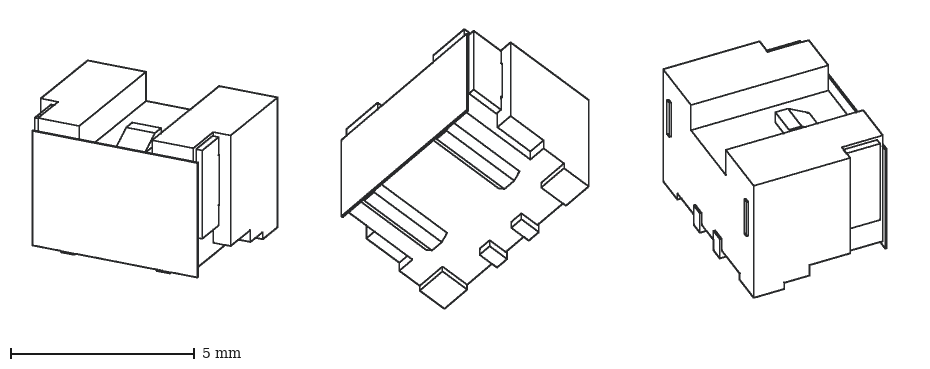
import cadquery as cq
import math


WIDTH = 5.75
DEPTH = 4.135
HEIGHT = 3.845
CORE_WIDTH = 4.7
SHOULDER_Y = 1.23

BELLY_Z = 0.21
STEP_Z = 0.57
STEP_END_Y = 2.455
FOOT_FRONT_Y = 3.215
FOOT_INNER_X = 1.965

RIB_BOTTOM_WIDTH = 0.39
RIB_CENTER_X = 1.445
RIB_END_Y = 2.52
RIB_FLANK_ANGLE = 45.0

CHANNEL_WIDTH = 2.21
CHANNEL_DEPTH = 0.86
LATCH_WIDTH = 0.87
LATCH_HEIGHT = 0.35
LATCH_FRONT_Y = 0.9
LATCH_CREST_Y = 1.535
LATCH_BACK_Y = 1.915

STANDOUT = 0.05

TAB_OUTER_X = 2.535
TAB_FRONT_Y = 0.17
TAB_BACK_Y = 1.19
TAB_BOTTOM_Z = 1.13
TAB_TOP_Z = 3.75
NECK_BOTTOM_Z = 1.725
NECK_TOP_Z = 3.215
TAIL_OUTER_X = 2.52
TAIL_WIDTH = 0.15
TAIL_BOTTOM_Z = 1.885
TAIL_TOP_Z = 3.055

CONTACT_X = 0.63
CONTACT_WIDTH = 0.4
CONTACT_FRONT_Y = 3.535
CONTACT_TOP_Z = 0.615

FILM_WIDTH = 4.995
FILM_HEIGHT = 3.39
FILM_BOTTOM_Z = 0.065
FILM_THICKNESS = 0.05

SIDES = (-1, 1)


def block(x_range, y_range, z_range):
    """Box spanning three coordinate ranges, each given in either order."""
    ranges = [sorted(limits) for limits in (x_range, y_range, z_range)]
    sizes = [high - low for low, high in ranges]
    corner = [low for low, high in ranges]
    return cq.Workplane("XY").box(*sizes, centered=False).translate(tuple(corner))


def centered_block(width, y_range, z_range):
    return block((-width / 2, width / 2), y_range, z_range)


def housing_shell():
    core = centered_block(CORE_WIDTH, (0, DEPTH), (BELLY_Z, HEIGHT))
    shoulders = centered_block(WIDTH, (SHOULDER_Y, DEPTH), (STEP_Z, HEIGHT))
    rear = centered_block(WIDTH, (STEP_END_Y, DEPTH), (BELLY_Z, HEIGHT))
    channel = centered_block(CHANNEL_WIDTH, (0, DEPTH), (HEIGHT - CHANNEL_DEPTH, HEIGHT))
    return core.union(shoulders).union(rear).cut(channel)


def foot(side):
    return block((side * FOOT_INNER_X, side * WIDTH / 2), (FOOT_FRONT_Y, DEPTH), (0, BELLY_Z))


def rib(side):
    flare = BELLY_Z * math.tan(math.radians(RIB_FLANK_ANGLE))
    half = RIB_BOTTOM_WIDTH / 2
    profile = [(-half, 0), (half, 0), (half + flare, BELLY_Z), (-half - flare, BELLY_Z)]
    bar = cq.Workplane("XZ").polyline(profile).close().extrude(-RIB_END_Y)
    return bar.translate((side * RIB_CENTER_X, 0, 0))


def latch():
    floor_z = HEIGHT - CHANNEL_DEPTH
    crest_z = floor_z + LATCH_HEIGHT
    profile = [
        (LATCH_FRONT_Y, floor_z),
        (LATCH_CREST_Y, crest_z),
        (LATCH_BACK_Y, crest_z),
        (LATCH_BACK_Y, floor_z),
    ]
    return cq.Workplane("YZ").polyline(profile).close().extrude(LATCH_WIDTH / 2, both=True)


def solder_tab(side):
    x_range = (side * CORE_WIDTH / 2, side * TAB_OUTER_X)
    plate = block(x_range, (TAB_FRONT_Y, TAB_BACK_Y), (TAB_BOTTOM_Z, TAB_TOP_Z))
    neck = block(x_range, (TAB_BACK_Y, SHOULDER_Y), (NECK_BOTTOM_Z, NECK_TOP_Z))
    return plate.union(neck)


def solder_tail(side):
    x_range = (side * (TAIL_OUTER_X - TAIL_WIDTH), side * TAIL_OUTER_X)
    return block(x_range, (DEPTH, DEPTH + STANDOUT), (TAIL_BOTTOM_Z, TAIL_TOP_Z))


def contact_foot(side):
    x_inner = side * CONTACT_X - CONTACT_WIDTH / 2
    x_range = (x_inner, x_inner + CONTACT_WIDTH)
    sole = block(x_range, (CONTACT_FRONT_Y, DEPTH + STANDOUT), (-STANDOUT, BELLY_Z))
    heel = block(x_range, (DEPTH, DEPTH + STANDOUT), (-STANDOUT, CONTACT_TOP_Z))
    return sole.union(heel)


def make_housing():
    body = housing_shell().union(latch())
    for side in SIDES:
        for feature in (foot, rib, solder_tab, solder_tail, contact_foot):
            body = body.union(feature(side))
    return body


def make_film():
    film_top_z = FILM_BOTTOM_Z + FILM_HEIGHT
    return centered_block(FILM_WIDTH, (-FILM_THICKNESS, 0), (FILM_BOTTOM_Z, film_top_z))


housing = make_housing()
film = make_film()

result = cq.Compound.makeCompound([housing.val(), film.val()])